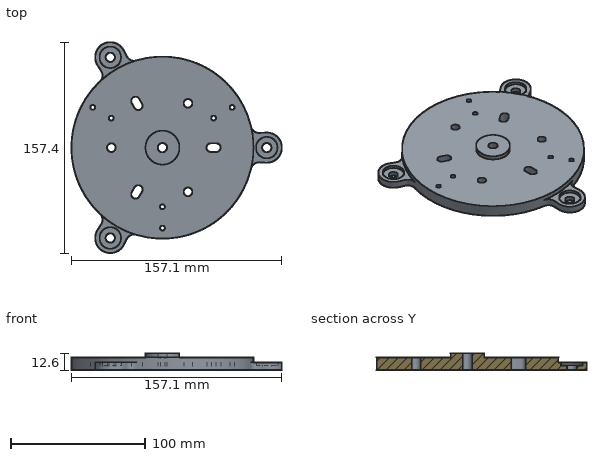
import cadquery as cq
import math

disc_radius = 136.0 / 2
disc_height = 9.5
boss_diameter = 25.4
total_height = 12.6
bore_diameter = 6.8

ear_count = 3
ear_spacing = 360 / ear_count
ear_height = 5.7
ear_radius = 11.3
ear_center_radius = 77.8
ear_taper = math.radians(3)
ear_fillet_radius = 6.0
ear_hole_diameter = 6.8
ear_counterbore_diameter = 16.0
ear_counterbore_depth = 2.2

mount_circle_radius = 38.1
mount_hole_diameter = 6.3
slot_length = 10.4
pin_hole_diameter = 3.5
pin_circle_radii = (44.1, 60.0)
pin_start_angle = 30


def polar(radius, angle):
    """Point at a radius and an angle in radians."""
    return radius * math.cos(angle), radius * math.sin(angle)


def mirrored(point):
    """Point reflected across the X axis."""
    return point[0], -point[1]


def make_ear():
    """Ear on the +X side, blended into the disc by a concave fillet on each flank."""
    normal_x, normal_y = -math.sin(ear_taper), math.cos(ear_taper)
    along_x, along_y = normal_y, -normal_x
    flank_outer = (ear_center_radius + ear_radius * normal_x, ear_radius * normal_y)

    offset = ear_radius + ear_fillet_radius
    base_x = ear_center_radius + offset * normal_x
    base_y = offset * normal_y
    center_distance = disc_radius + ear_fillet_radius
    projection = base_x * along_x + base_y * along_y
    travel = -projection + math.sqrt(projection**2 - base_x**2 - base_y**2 + center_distance**2)
    fillet_x = base_x + travel * along_x
    fillet_y = base_y + travel * along_y

    flank_inner = (fillet_x - ear_fillet_radius * normal_x, fillet_y - ear_fillet_radius * normal_y)
    rim_angle = math.atan2(fillet_y, fillet_x)
    rim_point = polar(disc_radius, rim_angle)

    rim_end_angle = rim_angle + math.pi
    flank_end_angle = ear_taper + 1.5 * math.pi
    middle_angle = (rim_end_angle + flank_end_angle) / 2
    middle_x, middle_y = polar(ear_fillet_radius, middle_angle)
    fillet_middle = (fillet_x + middle_x, fillet_y + middle_y)

    return (
        cq.Workplane("XY")
        .moveTo(0, 0)
        .lineTo(*rim_point)
        .threePointArc(fillet_middle, flank_inner)
        .lineTo(*flank_outer)
        .threePointArc((ear_center_radius + ear_radius, 0), mirrored(flank_outer))
        .lineTo(*mirrored(flank_inner))
        .threePointArc(mirrored(fillet_middle), mirrored(rim_point))
        .close()
        .extrude(ear_height)
    )


def make_ear_hole():
    """Through hole and counterbore of the ear on the +X side."""
    hole = cq.Workplane("XY").center(ear_center_radius, 0).circle(ear_hole_diameter / 2).extrude(ear_height)
    counterbore = (
        cq.Workplane("XY", origin=(ear_center_radius, 0, ear_height - ear_counterbore_depth))
        .circle(ear_counterbore_diameter / 2)
        .extrude(ear_counterbore_depth)
    )
    return hole.union(counterbore)


def cut_disc_openings(body):
    """Central bore, radial slots, round mounting holes and pairs of pin holes."""
    body = body.cut(cq.Workplane("XY").circle(bore_diameter / 2).extrude(total_height))
    slots = cq.Workplane("XY").polarArray(mount_circle_radius, 0, 360, ear_count)
    body = body.cut(slots.slot2D(slot_length, mount_hole_diameter).extrude(total_height))
    holes = cq.Workplane("XY").polarArray(mount_circle_radius, ear_spacing / 2, 360, ear_count)
    body = body.cut(holes.circle(mount_hole_diameter / 2).extrude(total_height))
    for radius in pin_circle_radii:
        pins = cq.Workplane("XY").polarArray(radius, pin_start_angle, 360, ear_count)
        body = body.cut(pins.circle(pin_hole_diameter / 2).extrude(total_height))
    return body


result = cq.Workplane("XY").circle(disc_radius).extrude(disc_height)
result = result.union(cq.Workplane("XY").circle(boss_diameter / 2).extrude(total_height))
ear = make_ear()
ear_hole = make_ear_hole()
for index in range(ear_count):
    angle = index * ear_spacing
    result = result.union(ear.rotate((0, 0, 0), (0, 0, 1), angle))
    result = result.cut(ear_hole.rotate((0, 0, 0), (0, 0, 1), angle))
result = cut_disc_openings(result)